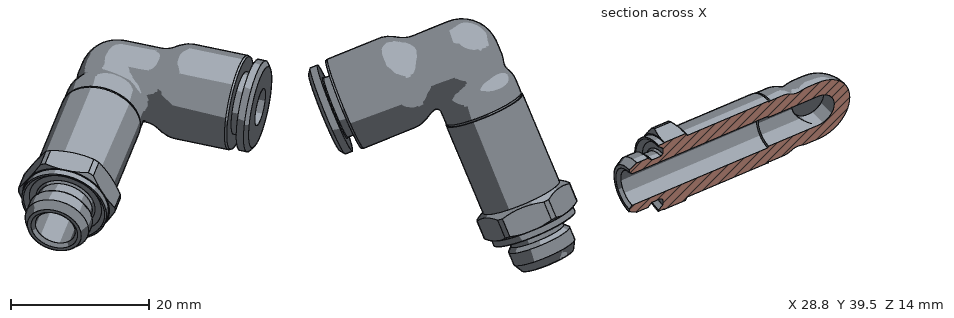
import cadquery as cq
import math


elbow_radius = 5.5
elbow_straight_end = 1.58
waist_start = 3.05
waist_entry_angle = math.radians(15)
waist_exit_angle = math.radians(30)
elbow_collar_start = 6.1
elbow_collar_radius = 11.8 / 2
elbow_collar_end = 8.55
rim_drop = 0.1
rim_length = 0.3
corner_fillet = 0.67

stem_radius = 12.0 / 2
hex_start = 22.48
hex_end = 26.45
hex_across_flats = 13.0
hex_corner_radius = 7.25
hex_turn = 30
hex_bevel_angle = math.radians(30)
hex_bottom_radius = 6.55
flange_radius = 12.8 / 2
flange_end = 27.45
recess_mouth_radius = 6.12
recess_floor_radius = 5.45
recess_depth = 0.7
neck_root_flare = 0.3
neck_radius = 8.3 / 2
neck_end = 28.6
thread_radius = 9.6 / 2
thread_start = neck_end + thread_radius - neck_radius
tip_start = 31.2
tip_radius = 8.15 / 2
stem_end = 32.5

socket_radius = 14.0 / 2
flare_start = 5.45
flare_length = 4.75
flare_angle = math.radians(30)
socket_end = 18.53
ring_neck_radius = 9.3 / 2
ring_start = 19.9
ring_neck_bevel = 0.15
ring_radius = 13.5 / 2
ring_bevel_start = 21.0
ring_face_radius = 12.0 / 2
branch_end = 21.55

bore_radius = 5.5 / 2
bore_mouth_radius = 3.5
stem_bore_radius = 6.0 / 2
bore_step_angle = math.radians(30)


def revolve_about_y(profile):
    return profile.close().revolve(360, (0, 0, 0), (0, 1, 0))


def revolve_about_x(profile):
    return profile.close().revolve(360, (0, 0, 0), (1, 0, 0))


def make_elbow():
    """Waisted elbow leg along -Y, with the ball at its top."""
    entry_rate = math.tan(waist_entry_angle / 2)
    swing_rate = math.tan((waist_exit_angle - waist_entry_angle) / 2)
    exit_rate = math.tan(waist_exit_angle / 2)
    waist_start_radius = elbow_radius - entry_rate * (waist_start - elbow_straight_end)
    rise = elbow_collar_radius - waist_start_radius
    length = elbow_collar_start - waist_start
    swing_length = (exit_rate * length - rise) / (exit_rate - swing_rate)
    waist_end = waist_start + swing_length
    waist_end_radius = waist_start_radius + swing_rate * swing_length
    leg = revolve_about_y(
        cq.Workplane("XY")
        .moveTo(0, 0)
        .lineTo(elbow_radius, 0)
        .lineTo(elbow_radius, -elbow_straight_end)
        .tangentArcPoint((waist_start_radius, -waist_start), relative=False)
        .tangentArcPoint((waist_end_radius, -waist_end), relative=False)
        .tangentArcPoint((elbow_collar_radius, -elbow_collar_start), relative=False)
        .lineTo(elbow_collar_radius, rim_length - elbow_collar_end)
        .lineTo(elbow_collar_radius - rim_drop, -elbow_collar_end)
        .lineTo(0, -elbow_collar_end)
    )
    return leg.union(cq.Workplane("XY").sphere(elbow_radius))


def make_branch():
    """Straight tube, 30 degree flare with rounded ends, and the wide tube socket."""
    rise = socket_radius - elbow_radius
    arc_radius = (flare_length * math.tan(flare_angle) - rise) / (
        2 * (math.sin(flare_angle) * math.tan(flare_angle) - 1 + math.cos(flare_angle))
    )
    arc_length = arc_radius * math.sin(flare_angle)
    arc_rise = arc_radius * (1 - math.cos(flare_angle))
    flare_end = flare_start + flare_length
    return revolve_about_x(
        cq.Workplane("XY")
        .moveTo(0, 0)
        .lineTo(0, elbow_radius)
        .lineTo(flare_start, elbow_radius)
        .tangentArcPoint((flare_start + arc_length, elbow_radius + arc_rise), relative=False)
        .lineTo(flare_end - arc_length, socket_radius - arc_rise)
        .tangentArcPoint((flare_end, socket_radius), relative=False)
        .lineTo(socket_end - rim_length, socket_radius)
        .lineTo(socket_end, socket_radius - rim_drop)
        .lineTo(socket_end, 0)
    )


def make_release_ring():
    """Narrow neck and bevelled ring at the tube end of the branch."""
    return revolve_about_x(
        cq.Workplane("XY")
        .moveTo(socket_end, 0)
        .lineTo(socket_end, ring_neck_radius)
        .lineTo(ring_start - ring_neck_bevel, ring_neck_radius)
        .lineTo(ring_start, ring_neck_radius + ring_neck_bevel)
        .lineTo(ring_start, ring_radius)
        .lineTo(ring_bevel_start, ring_radius)
        .lineTo(branch_end, ring_face_radius)
        .lineTo(branch_end, 0)
    )


def make_stem():
    """Long sleeve, sealing flange with a conical recess, neck and threaded tip."""
    return revolve_about_y(
        cq.Workplane("XY")
        .moveTo(0, -elbow_collar_end)
        .lineTo(stem_radius, -elbow_collar_end)
        .lineTo(stem_radius, -hex_end)
        .lineTo(flange_radius, -hex_end)
        .lineTo(flange_radius, -flange_end)
        .lineTo(recess_mouth_radius, -flange_end)
        .lineTo(recess_floor_radius, recess_depth - flange_end)
        .lineTo(neck_radius + neck_root_flare, recess_depth - flange_end)
        .lineTo(neck_radius, recess_depth - neck_root_flare - flange_end)
        .lineTo(neck_radius, -neck_end)
        .lineTo(thread_radius, -thread_start)
        .lineTo(thread_radius, -tip_start)
        .lineTo(tip_radius, -stem_end)
        .lineTo(0, -stem_end)
    )


def make_hex():
    """Hexagon with corners on X, its corners rounded and bevelled on both faces."""
    prism = (
        cq.Workplane("XZ", origin=(0, -hex_start, 0))
        .polygon(6, hex_across_flats, circumscribed=True)
        .extrude(hex_end - hex_start)
        .rotate((0, 0, 0), (0, 1, 0), hex_turn)
    )
    top_bevel = (hex_corner_radius - stem_radius) * math.tan(hex_bevel_angle)
    bottom_bevel = (hex_corner_radius - hex_bottom_radius) * math.tan(hex_bevel_angle)
    envelope = revolve_about_y(
        cq.Workplane("XY")
        .moveTo(0, -hex_start)
        .lineTo(stem_radius, -hex_start)
        .lineTo(hex_corner_radius, -hex_start - top_bevel)
        .lineTo(hex_corner_radius, bottom_bevel - hex_end)
        .lineTo(hex_bottom_radius, -hex_end)
        .lineTo(0, -hex_end)
    )
    return prism.intersect(envelope)


def make_bores():
    """Stem bore with a tapered mouth, meeting the bore that runs out along the branch."""
    mouth_depth = bore_mouth_radius - stem_bore_radius
    step_length = (stem_bore_radius - bore_radius) * math.tan(bore_step_angle)
    stem_bore = revolve_about_y(
        cq.Workplane("XY")
        .moveTo(0, 0)
        .lineTo(bore_radius, 0)
        .lineTo(bore_radius, -elbow_collar_end)
        .lineTo(stem_bore_radius, -elbow_collar_end - step_length)
        .lineTo(stem_bore_radius, mouth_depth - stem_end)
        .lineTo(bore_mouth_radius, -stem_end)
        .lineTo(0, -stem_end)
    )
    branch_bore = (
        cq.Workplane("YZ", origin=(-bore_radius, 0, 0))
        .circle(bore_radius)
        .extrude(bore_radius + branch_end)
    )
    return stem_bore.union(branch_bore)


def make_elbow_body():
    """Elbow leg and branch joined, with a fillet along the seam of their inner corner."""
    seam_end = cq.selectors.BoxSelector(
        (flare_start, -elbow_collar_radius, -elbow_collar_radius),
        (elbow_collar_radius, -waist_start, elbow_collar_radius),
    )
    body = make_elbow().union(make_branch())
    return body.edges(seam_end).edges("%BSPLINE").fillet(corner_fillet)


result = (
    make_elbow_body()
    .union(make_release_ring())
    .union(make_stem())
    .union(make_hex())
    .cut(make_bores())
)